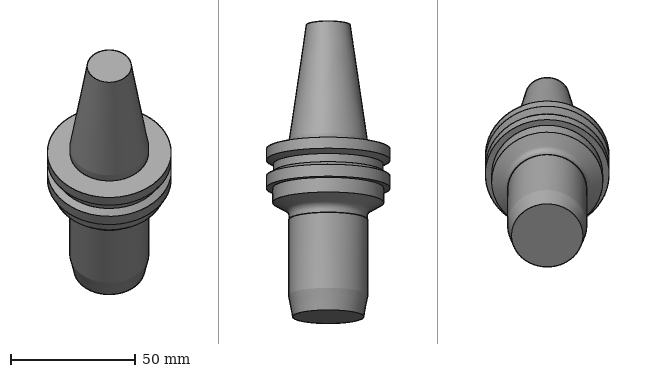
import cadquery as cq
import math

total_height = 119.8

shank_height = 50.9
shank_land_height = 3.2
shank_diameter = 31.7
taper_ratio = 7 / 24
shank_taper_height = shank_height - shank_land_height
shank_tip_diameter = shank_diameter - taper_ratio * shank_taper_height

flange_diameter = 50.0
flange_thickness = 16.0
groove_diameter = 44.3
groove_top = 4.5
groove_bottom = 11.1
groove_wall_angle = 30.0
groove_wall_height = (flange_diameter - groove_diameter) / 2 * math.tan(math.radians(groove_wall_angle))

nose_diameter = 32.0
nose_top = 29.0
nose_edge_chamfer = 0.18
nose_taper_height = 8.6
nose_tip_diameter = 28.8
nose_bottom = total_height - shank_height

collar_diameter = 44.8
collar_bottom = 22.0
collar_cone_angle = 30.0
neck_diameter = nose_diameter - 2 * nose_edge_chamfer
neck_blend_radius = 3.0

blend_turn = math.radians(90 - collar_cone_angle)
blend_start_radius = neck_diameter / 2 + neck_blend_radius * (1 - math.cos(blend_turn))
blend_middle_radius = neck_diameter / 2 + neck_blend_radius * (1 - math.cos(blend_turn / 2))
collar_cone_height = (collar_diameter / 2 - blend_start_radius) * math.tan(math.radians(collar_cone_angle))
blend_start = collar_bottom + collar_cone_height
blend_end = blend_start + neck_blend_radius * math.sin(blend_turn)
blend_middle = blend_end - neck_blend_radius * math.sin(blend_turn / 2)

profile = (
    cq.Workplane("XZ")
    .moveTo(0, shank_height)
    .lineTo(shank_tip_diameter / 2, shank_height)
    .lineTo(shank_diameter / 2, shank_land_height)
    .lineTo(shank_diameter / 2, 0)
    .lineTo(flange_diameter / 2, 0)
    .lineTo(flange_diameter / 2, -groove_top)
    .lineTo(groove_diameter / 2, -groove_top - groove_wall_height)
    .lineTo(groove_diameter / 2, -groove_bottom + groove_wall_height)
    .lineTo(flange_diameter / 2, -groove_bottom)
    .lineTo(flange_diameter / 2, -flange_thickness)
    .lineTo(collar_diameter / 2, -flange_thickness)
    .lineTo(collar_diameter / 2, -collar_bottom)
    .lineTo(blend_start_radius, -blend_start)
    .threePointArc((blend_middle_radius, -blend_middle), (neck_diameter / 2, -blend_end))
    .lineTo(neck_diameter / 2, -nose_top)
    .lineTo(nose_diameter / 2, -nose_top - nose_edge_chamfer)
    .lineTo(nose_diameter / 2, -nose_bottom + nose_taper_height)
    .lineTo(nose_tip_diameter / 2, -nose_bottom)
    .lineTo(0, -nose_bottom)
    .close()
)
result = profile.revolve(360, (0, 0, 0), (0, 1, 0))